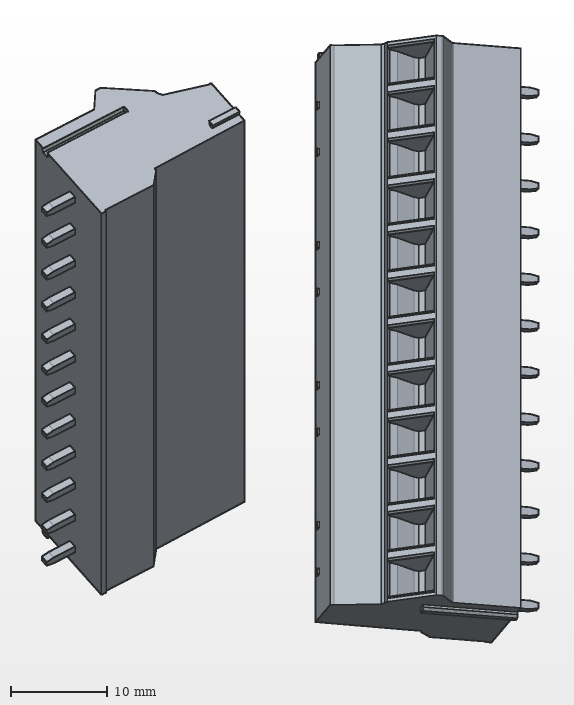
import cadquery as cq

poles = 12
body_height = 60.9
pitch = body_height / poles
tip_width = 14.05
back_y = 19.4

left_wall_x = 2.05
nose_foot_y = 7.3
nose_bottom_y = 8.9
nose_top_y = 9.55
slope_end_x = 3.5
slope_end_y = 13.9
nose_fillet = 0.2

lip_length = 0.6
lip_overhang = 0.2

rim_height = 4.35
rim_chamfer = 0.22
pocket_draft = 12
pocket_span = 18.65
pocket_reach = 6.2
pocket_front_y = 9.75
end_chamfer = 0.4
floor_step_x = 0.5

pin_x = 8.9
pin_width = 0.95
pin_length = 3.55
pin_point_length = 0.9
pin_point_height = 0.55

lower_rail_x = 3.85
lower_rail_length = 10.1
lower_rail_neck = 0.75
lower_rail_width = 1.2
lower_rail_height = 0.7
upper_rail_x = 10.8
upper_rail_length = 3.35
upper_rail_neck = 0.5
upper_rail_width = 0.75
upper_rail_height = 0.55

pad_x = 10.95
pad_width = 0.75
pad_height = 0.6
pad_thickness = 0.2
pad_group = 3


def pole_center(index):
    return (index + 0.5) * pitch


def extrude_back(points, start_y, length):
    """Extrude an XZ outline from start_y toward +Y."""
    return cq.Workplane("XZ", origin=(0, start_y, 0)).polyline(points).close().extrude(-length)


def make_housing():
    outline = [
        (left_wall_x, 0),
        (tip_width, 0),
        (tip_width, 6.65),
        (12.5, 8.0),
        (12.25, 8.0),
        (12.05, back_y),
        (5.9, back_y),
        (5.9, 19.0),
        (4.4, 14.35),
        (4.0, 14.05),
        (slope_end_x, slope_end_y),
        (0, nose_top_y),
        (0, nose_bottom_y),
        (left_wall_x, nose_foot_y),
    ]
    housing = cq.Workplane("XY").polyline(outline).close().extrude(body_height)
    for corner in [(0, nose_bottom_y), (left_wall_x, nose_foot_y)]:
        edge = cq.selectors.NearestToPointSelector((*corner, body_height / 2))
        housing = housing.edges(edge).fillet(nose_fillet)
    lip = cq.Workplane("XY").box(
        2 * lip_overhang, lip_length, body_height, centered=(True, False, False)
    )
    return housing.union(lip.translate((tip_width, 0, 0)))


def make_pocket(center_z):
    """Pocket in the slope: chamfered rim, side walls drafted square to the slope, stepped floor."""
    slope_x = slope_end_x
    slope_y = slope_end_y - nose_top_y
    slope_plane = cq.Plane(
        origin=(slope_x / 2, nose_top_y + slope_y / 2, center_z),
        xDir=(slope_x, slope_y, 0),
        normal=(slope_y, -slope_x, 0),
    )
    rim = cq.Workplane(slope_plane).rect(pocket_span, rim_height).extrude(rim_chamfer, taper=45)
    funnel = (
        cq.Workplane(slope_plane)
        .rect(pocket_span, rim_height - 2 * rim_chamfer)
        .extrude(pocket_reach, taper=pocket_draft)
    )
    upper_floor_x = slope_end_x + end_chamfer
    deep_floor_x = upper_floor_x + floor_step_x
    side_outline = [
        (0, pocket_front_y),
        (0, slope_end_y),
        (slope_end_x, slope_end_y),
        (upper_floor_x, slope_end_y - end_chamfer),
        (upper_floor_x, 12.75),
        (deep_floor_x, 10.9),
        (deep_floor_x, 10.3),
        (deep_floor_x - floor_step_x, pocket_front_y),
    ]
    side_limit = (
        cq.Workplane("XY", origin=(0, 0, center_z - pitch / 2))
        .polyline(side_outline)
        .close()
        .extrude(pitch)
    )
    return rim.union(funnel).intersect(side_limit)


def make_pin(center_z):
    half_height = pin_width / 2
    half_point = pin_point_height / 2
    side = [
        (0, -half_height),
        (0, half_height),
        (pin_point_length - pin_length, half_height),
        (-pin_length, half_point),
        (-pin_length, -half_point),
        (pin_point_length - pin_length, -half_height),
    ]
    pin = cq.Workplane("YZ").polyline(side).close().extrude(pin_width / 2, both=True)
    return pin.translate((pin_x, 0, center_z))


def make_lower_rail(face_z):
    """Rail hanging below face_z: it widens from its neck, then narrows again."""
    half_neck = lower_rail_neck / 2
    half_width = lower_rail_width / 2
    right_side = [
        (half_neck, 0),
        (half_width, -lower_rail_height / 2),
        (half_neck, -lower_rail_height),
    ]
    left_side = [(-x, z) for x, z in reversed(right_side)]
    rail = extrude_back(right_side + left_side, 0, lower_rail_length)
    return rail.translate((lower_rail_x, 0, face_z))


def make_upper_rail():
    half_neck = upper_rail_neck / 2
    half_width = upper_rail_width / 2
    section = [
        (-half_neck, 0),
        (half_neck, 0),
        (half_width, upper_rail_height),
        (-half_width, upper_rail_height),
    ]
    rail = extrude_back(section, back_y - upper_rail_length, upper_rail_length)
    return rail.translate((upper_rail_x, 0, body_height))


def make_pad(center_z):
    pad = cq.Workplane("XY").box(pad_width, 2 * pad_thickness, pad_height)
    return pad.translate((pad_x, back_y, center_z))


result = make_housing()

for pole in range(poles):
    result = result.cut(make_pocket(pole_center(pole)))
    result = result.union(make_pin(pole_center(pole)))

for boundary in range(1, poles):
    if boundary % pad_group != 0:
        result = result.union(make_pad(boundary * pitch))

result = result.union(make_lower_rail(0))
result = result.cut(make_lower_rail(body_height))
result = result.union(make_upper_rail())